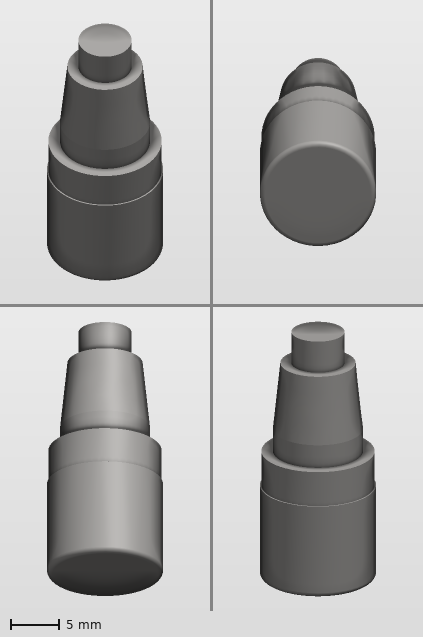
import cadquery as cq

TOTAL_HEIGHT = 27.2

SLEEVE_DIAMETER = 12.0
SLEEVE_HEIGHT = 10.15
SLEEVE_EDGE_RADIUS = 0.52

COLLAR_DIAMETER = 11.7
COLLAR_TOP = 13.93
NECK_DIAMETER = 9.3
NECK_TOP = 16.43
BOOT_TOP_DIAMETER = 7.78
BOOT_TOP = 23.75
STUB_DIAMETER = 5.5


def make_sleeve():
    """Solid cylinder standing on Z = 0 with a rounded lower rim."""
    cylinder = cq.Workplane("XY").circle(SLEEVE_DIAMETER / 2).extrude(SLEEVE_HEIGHT)
    return cylinder.faces("<Z").edges().fillet(SLEEVE_EDGE_RADIUS)


def make_plug():
    """Stepped and tapered body, revolved about Z from its half profile."""
    profile = [
        (0, SLEEVE_HEIGHT),
        (COLLAR_DIAMETER / 2, SLEEVE_HEIGHT),
        (COLLAR_DIAMETER / 2, COLLAR_TOP),
        (NECK_DIAMETER / 2, COLLAR_TOP),
        (NECK_DIAMETER / 2, NECK_TOP),
        (BOOT_TOP_DIAMETER / 2, BOOT_TOP),
        (STUB_DIAMETER / 2, BOOT_TOP),
        (STUB_DIAMETER / 2, TOTAL_HEIGHT),
        (0, TOTAL_HEIGHT),
    ]
    return cq.Workplane("XZ").polyline(profile).close().revolve(360, (0, 0, 0), (0, 1, 0))


sleeve = make_sleeve()
plug = make_plug()

result = cq.Compound.makeCompound([sleeve.val(), plug.val()])